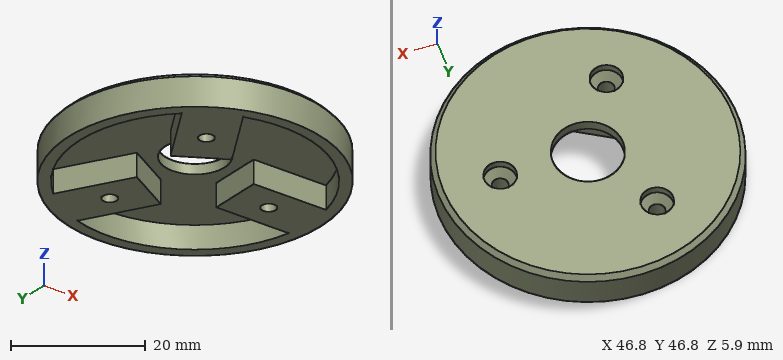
import cadquery as cq

outer_diameter = 46.8
height = 5.9
edge_chamfer = 0.8
bore_diameter = 11.0

top_thickness = 1.8
rim_thickness = 2.0
pad_width = 9.15
pad_inner_distance = 7.45
recess_depth = height - top_thickness
recess_radius = outer_diameter / 2 - rim_thickness

screw_count = 3
screw_circle_radius = 13.7
screw_diameter = 2.55
head_diameter = 5.0
head_recess_depth = 1.25
cone_depth = (head_diameter - screw_diameter) / 2


def make_disc():
    disc = cq.Workplane("XY").circle(outer_diameter / 2).extrude(height)
    return disc.faces(">Z").edges().chamfer(edge_chamfer)


def make_recess():
    """Round recess minus the radial pads that join the rim."""
    recess = cq.Workplane("XY").circle(recess_radius).extrude(recess_depth)
    pad_length = outer_diameter / 2 - pad_inner_distance
    pad = (
        cq.Workplane("XY")
        .box(pad_length, pad_width, recess_depth, centered=(False, True, False))
        .translate((pad_inner_distance, 0, 0))
    )
    for index in range(screw_count):
        angle = index * 360 / screw_count
        recess = recess.cut(pad.rotate((0, 0, 0), (0, 0, 1), angle))
    return recess


def make_screw_hole():
    """Revolved cutter: shank hole, conical seat and straight head recess."""
    shank_radius = screw_diameter / 2
    head_radius = head_diameter / 2
    cone_top = height - head_recess_depth
    cone_bottom = cone_top - cone_depth
    profile = [
        (0, 0),
        (shank_radius, 0),
        (shank_radius, cone_bottom),
        (head_radius, cone_top),
        (head_radius, height),
        (0, height),
    ]
    cutter = cq.Workplane("XZ").polyline(profile).close().revolve(360, (0, 0, 0), (0, 1, 0))
    return cutter.translate((screw_circle_radius, 0, 0))


bore = cq.Workplane("XY").circle(bore_diameter / 2).extrude(height)
result = make_disc().cut(make_recess()).cut(bore)

screw_hole = make_screw_hole()
for index in range(screw_count):
    angle = index * 360 / screw_count
    result = result.cut(screw_hole.rotate((0, 0, 0), (0, 0, 1), angle))